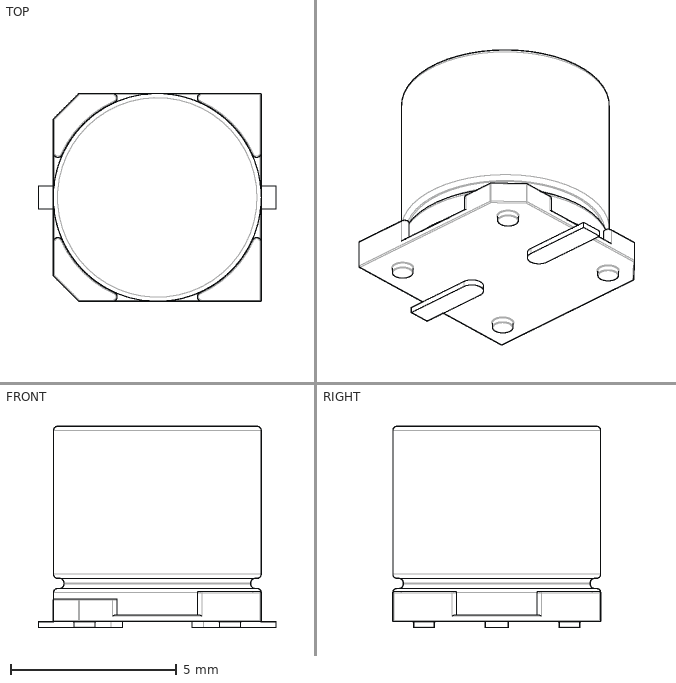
import cadquery as cq
import math


can_radius = 6.3 / 2
neck_radius = 5.67 / 2
can_top = 6.1
bend_radius = 0.13
groove_bottom = 1.06
neck_flat = 0.04

base_width = 6.3
base_bottom = 0.18
floor_height = 0.385
short_corner_top = 0.87
tall_corner_top = 1.09
corner_chamfer = 0.78
edge_radius = 0.035
tip_radius = 0.14
can_clearance = 0.01

foot_diameter = 0.63
foot_offset = 2.2
foot_blend = 0.02

lead_width = 0.7
lead_outer_end = 7.2 / 2
lead_inner_end = 1.05

half_base = base_width / 2


def make_can():
    """Revolve the can profile, with its rounded rim and crimped neck."""
    r = bend_radius
    neck_start = groove_bottom + 2 * r
    neck_end = neck_start + neck_flat
    groove_top = neck_end + 2 * r
    rim_inner = can_radius - r
    neck_outer = neck_radius + r
    diagonal = r * math.sqrt(0.5)

    profile = (
        cq.Workplane("XZ")
        .moveTo(0, floor_height)
        .lineTo(can_radius, floor_height)
        .lineTo(can_radius, groove_bottom)
        .threePointArc(
            (rim_inner + diagonal, groove_bottom + diagonal),
            (rim_inner, groove_bottom + r),
        )
        .lineTo(neck_outer, groove_bottom + r)
        .threePointArc(
            (neck_outer - diagonal, neck_start - diagonal),
            (neck_radius, neck_start),
        )
        .lineTo(neck_radius, neck_end)
        .threePointArc(
            (neck_outer - diagonal, neck_end + diagonal),
            (neck_outer, neck_end + r),
        )
        .lineTo(rim_inner, neck_end + r)
        .threePointArc(
            (rim_inner + diagonal, groove_top - diagonal),
            (can_radius, groove_top),
        )
        .lineTo(can_radius, can_top - r)
        .threePointArc(
            (rim_inner + diagonal, can_top - r + diagonal),
            (rim_inner, can_top),
        )
        .lineTo(0, can_top)
        .close()
    )
    return profile.revolve(360, (0, 0, 0), (0, 1, 0))


def make_plate():
    """Square base plate with both -X corners chamfered and its edges rounded."""
    height = floor_height - base_bottom
    plate = (
        cq.Workplane("XY", origin=(0, 0, base_bottom))
        .rect(base_width, base_width)
        .extrude(height)
        .edges("|Z and <X")
        .chamfer(corner_chamfer)
    )
    return plate.edges().fillet(edge_radius)


def make_corner_post(chamfered, top):
    """Corner post in the +X +Y quadrant, hollowed to clear the can."""
    hollow_radius = can_radius + can_clearance
    tip_far = half_base - tip_radius
    tip_near = math.sqrt((hollow_radius + tip_radius) ** 2 - tip_far**2)
    tip_angle = math.atan2(tip_near, tip_far)
    touch_far = hollow_radius * math.cos(tip_angle)
    touch_near = hollow_radius * math.sin(tip_angle)
    hollow_middle = hollow_radius * math.sqrt(0.5)
    tip_end = tip_near - tip_radius

    post_bottom = (base_bottom + floor_height) / 2
    outline = cq.Workplane("XY", origin=(0, 0, post_bottom))
    outline = outline.moveTo(half_base, tip_near)
    if chamfered:
        chamfer_start = half_base - corner_chamfer
        outline = outline.lineTo(half_base, chamfer_start).lineTo(chamfer_start, half_base)
    else:
        outline = outline.lineTo(half_base, half_base)
    outline = (
        outline.lineTo(tip_near, half_base)
        .threePointArc((tip_end, tip_far), (touch_near, touch_far))
        .threePointArc((hollow_middle, hollow_middle), (touch_far, touch_near))
        .threePointArc((tip_far, tip_end), (half_base, tip_near))
        .close()
    )
    post = outline.extrude(top - post_bottom)
    corner_start = half_base - corner_chamfer - edge_radius
    corner_edges = cq.selectors.BoxSelector(
        (corner_start, corner_start, 0),
        (base_width, base_width, can_top),
    )
    post = post.edges("|Z").edges(corner_edges).fillet(edge_radius)
    return post.faces(">Z").edges().fillet(edge_radius)


def make_foot(x, y):
    """Round standoff under the base, flaring into it at the top and rounded below."""
    foot_radius = foot_diameter / 2
    flare_radius = foot_radius + foot_blend
    diagonal = foot_blend * math.sqrt(0.5)
    profile = (
        cq.Workplane("XZ")
        .lineTo(foot_radius - foot_blend, 0)
        .threePointArc(
            (foot_radius - foot_blend + diagonal, foot_blend - diagonal),
            (foot_radius, foot_blend),
        )
        .lineTo(foot_radius, base_bottom - foot_blend)
        .threePointArc(
            (flare_radius - diagonal, base_bottom - foot_blend + diagonal),
            (flare_radius, base_bottom),
        )
        .lineTo(0, base_bottom)
        .close()
    )
    return profile.revolve(360, (0, 0, 0), (0, 1, 0)).translate((x, y, 0))


def make_lead():
    """Flat +X lead with a round inner end."""
    inner_centre = lead_inner_end + lead_width / 2
    half_width = lead_width / 2
    return (
        cq.Workplane("XY")
        .moveTo(lead_outer_end, -half_width)
        .lineTo(lead_outer_end, half_width)
        .lineTo(inner_centre, half_width)
        .threePointArc((lead_inner_end, 0), (inner_centre, -half_width))
        .close()
        .extrude(base_bottom)
    )


result = make_can().union(make_plate())

short_post = make_corner_post(True, short_corner_top)
tall_post = make_corner_post(False, tall_corner_top)
corners = [(tall_post, 0), (short_post, 90), (short_post, 180), (tall_post, 270)]
for post, angle in corners:
    result = result.union(post.rotate((0, 0, 0), (0, 0, 1), angle))

for side in (-1, 1):
    for end in (-1, 1):
        result = result.union(make_foot(side * foot_offset, end * foot_offset))

for angle in (0, 180):
    result = result.union(make_lead().rotate((0, 0, 0), (0, 0, 1), angle))